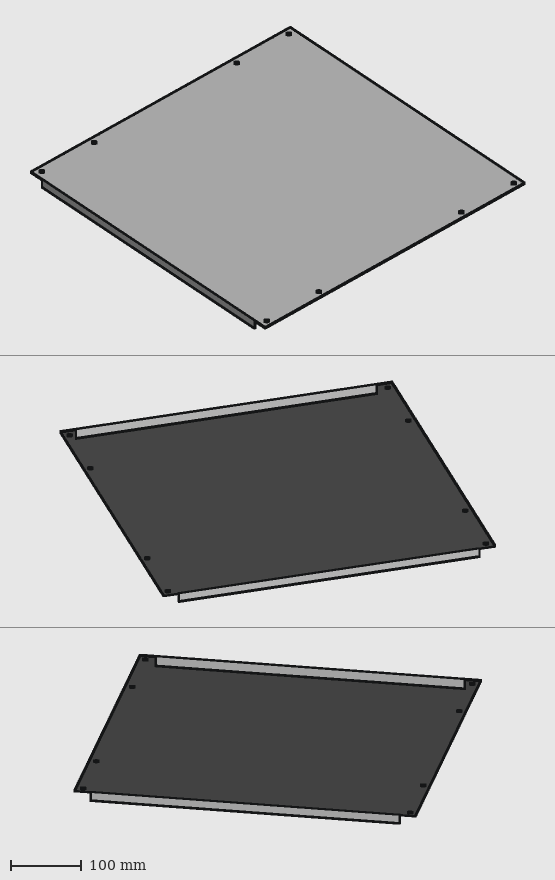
import cadquery as cq

panel_width = 490.0
panel_depth = 497.0
panel_height = 15.0
sheet_thickness = 2.0

flange_end_inset = 23.0
flange_length = panel_width - 2 * flange_end_inset

hole_diameter = 6.5
hole_side_margin = 10.0
hole_end_margin = 12.0
hole_pitch = 100.0
hole_x = panel_width / 2 - hole_side_margin
outer_hole_y = panel_depth / 2 - hole_end_margin
inner_hole_y = outer_hole_y - hole_pitch


def flat_panel():
    """Flat sheet with its top face at the full height."""
    return (
        cq.Workplane("XY")
        .workplane(offset=panel_height - sheet_thickness)
        .rect(panel_width, panel_depth)
        .extrude(sheet_thickness)
    )


def flanges():
    """Downturned flanges, flush with the front and back edges."""
    flange_y = (panel_depth - sheet_thickness) / 2
    return (
        cq.Workplane("XY")
        .pushPoints([(0, -flange_y), (0, flange_y)])
        .rect(flange_length, sheet_thickness)
        .extrude(panel_height)
    )


def mounting_holes():
    """Cutters for the eight through holes."""
    hole_centers = [
        (side * hole_x, end * y)
        for side in (-1, 1)
        for end in (-1, 1)
        for y in (inner_hole_y, outer_hole_y)
    ]
    return (
        cq.Workplane("XY")
        .pushPoints(hole_centers)
        .circle(hole_diameter / 2)
        .extrude(panel_height)
    )


result = flat_panel().union(flanges()).cut(mounting_holes())